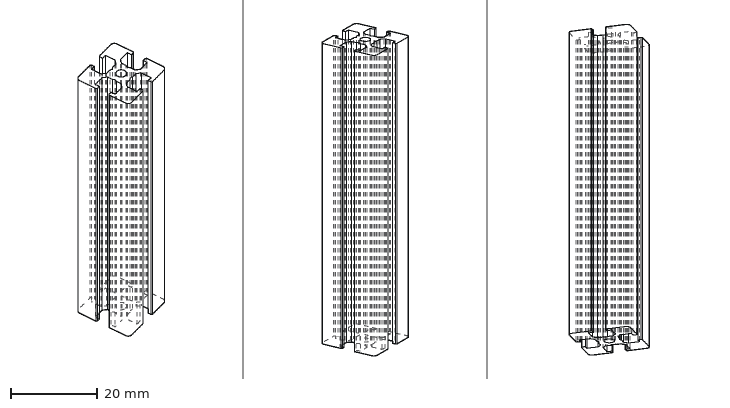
import cadquery as cq
length = 75.0
side = 15.0
corner_radius = 1.0
bore_diameter = 2.5

slot_opening = 3.3
mouth_chamfer = 0.2
lip_thickness = 1.05
cavity_width = 5.6
core_width = 5.6
cavity_chamfer = 0.9
groove_width = 1.1
groove_depth = 0.2

half_side = side / 2
half_opening = slot_opening / 2
half_cavity = cavity_width / 2
floor = core_width / 2
lip_inner = half_side - lip_thickness


def slot_cutter():
    """T-slot on the +Y side, with chamfered mouth and floor corners and a round floor groove."""
    right_half = [
        (groove_width / 2, floor),
        (half_cavity - cavity_chamfer, floor),
        (half_cavity, floor + cavity_chamfer),
        (half_cavity, lip_inner),
        (half_opening, lip_inner),
        (half_opening, half_side - mouth_chamfer),
        (half_opening + mouth_chamfer, half_side),
    ]
    left_half = [(-x, y) for x, y in reversed(right_half)]
    outline = (
        cq.Workplane("XY")
        .polyline(right_half + left_half)
        .threePointArc((0, floor - groove_depth), right_half[0])
        .close()
    )
    return outline.extrude(length)


result = cq.Workplane("XY").rect(side, side).extrude(length).edges("|Z").fillet(corner_radius)

slot = slot_cutter()
for angle in (0, 90, 180, 270):
    result = result.cut(slot.rotate((0, 0, 0), (0, 0, 1), angle))

bore = cq.Workplane("XY").circle(bore_diameter / 2).extrude(length)
result = result.cut(bore)